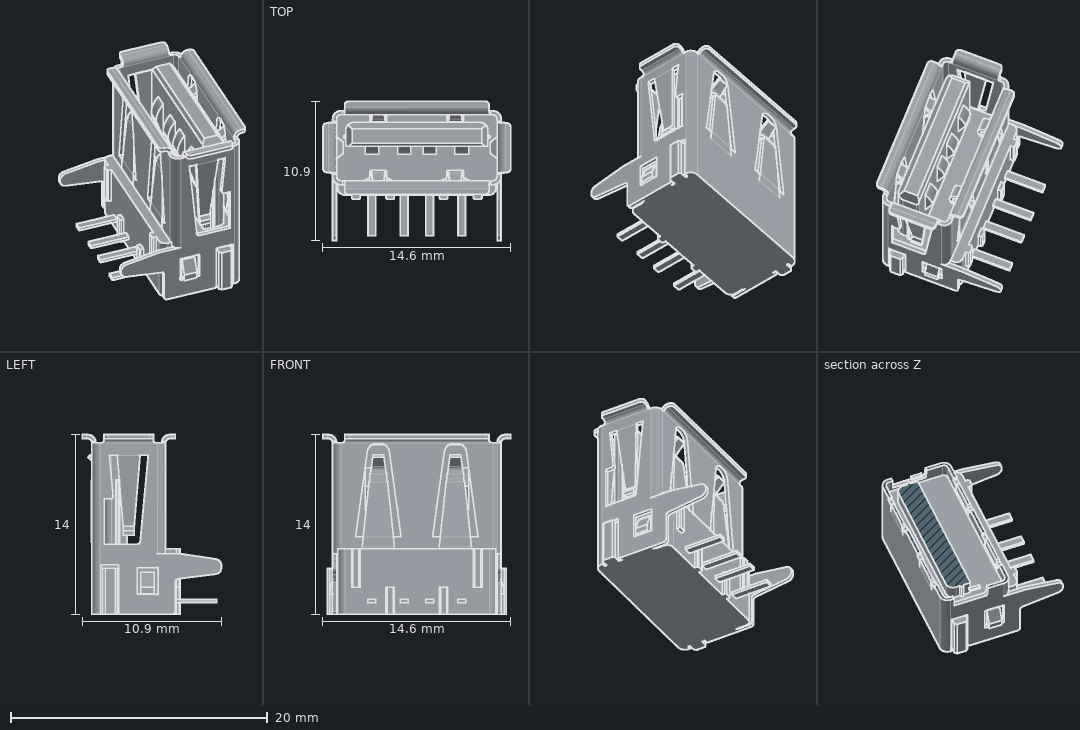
import cadquery as cq
import math


sheet = 0.32
shell_x, shell_y = 13.14, 5.76
half_x, half_y = shell_x / 2, shell_y / 2
cavity_x, cavity_y = shell_x - 2 * sheet, shell_y - 2 * sheet
corner_outer, corner_inner = 2 * sheet, sheet
total_height = 14.0
bend_outer = 2 * sheet
shell_top = total_height - bend_outer

RIGHT, BACK, LEFT, FRONT = 0, 90, 180, -90


def box(x_range, y_range, z_range):
    """Box given by its limits along each axis."""
    size = [high - low for low, high in (x_range, y_range, z_range)]
    return cq.Workplane("XY").box(*size, centered=False).translate((x_range[0], y_range[0], z_range[0]))


def rounded_column(size_x, size_y, height, radius):
    return cq.Workplane("XY").rect(size_x, size_y).extrude(height).edges("|Z").fillet(radius)


def prism_along_x(points, x_low, x_high):
    """Prism of a (y, z) outline."""
    return cq.Workplane("YZ").polyline(points).close().extrude(x_high - x_low).translate((x_low, 0, 0))


def prism_along_y(points, y_low, y_high):
    """Prism of an (x, z) outline."""
    return cq.Workplane("XZ").polyline(points).close().extrude(y_low - y_high).translate((0, y_low, 0))


def mirrored(points):
    """Close a half outline of (offset, z) points by its mirror image about offset 0."""
    return points + [(-offset, z) for offset, z in reversed(points)]


def both_sides(shape):
    """The shape together with its mirror image at -X."""
    return shape.union(shape.mirror("YZ"))


def bent_strip(path, thickness, radii, width):
    """Sheet strip bent along an (x, z) path that is one of its faces.

    Positive thickness lies left of the path. Each radius is the inside radius of one bend,
    0 for a plain kink.
    """
    headings = [math.atan2(z1 - z0, x1 - x0) for (x0, z0), (x1, z1) in zip(path, path[1:])]
    before = [headings[0]] + headings
    after = headings + [headings[-1]]
    opposite = []
    for (x, z), heading_in, heading_out in zip(path, before, after):
        middle = (heading_in + heading_out) / 2
        reach = thickness / math.cos((heading_out - heading_in) / 2)
        opposite.append((x - reach * math.sin(middle), z + reach * math.cos(middle)))
    strip = cq.Workplane("XZ").polyline(path + opposite[::-1]).close().extrude(width / 2, both=True)
    for bend, radius in enumerate(radii, start=1):
        if radius == 0:
            continue
        turns_to_strip = (after[bend] - before[bend]) * thickness > 0
        inside, outside = (opposite, path) if turns_to_strip else (path, opposite)
        for (x, z), bend_radius in ((inside[bend], radius), (outside[bend], radius + abs(thickness))):
            edge = strip.edges("|Y").edges(cq.NearestToPointSelector((x, 0, z)))
            strip = edge.fillet(bend_radius)
    return strip


def turned(shape, side):
    return shape.rotate((0, 0, 0), (0, 0, 1), side)


front_wall_bottom = 4.73
plate_front = -3.61
leg_tip = -7.23
leg_root = -4.01
leg_tip_top, leg_tip_bottom, leg_bottom = 4.25, 3.17, 2.72


def shell_body():
    body = rounded_column(shell_x, shell_y, shell_top, corner_outer)
    body = body.cut(rounded_column(cavity_x, cavity_y, shell_top, corner_inner))
    below_front_wall = box((-half_x, half_x), (-half_y, corner_outer - half_y), (0, front_wall_bottom))
    return body.cut(below_front_wall)


def side_plate():
    """Flat lower side wall that runs out into the board-lock leg."""
    tip_radius, leg_fillet, foot_fillet = 0.53, 0.28, 0.25
    outline = [
        (0, 0),
        (plate_front, 0),
        (plate_front, leg_bottom),
        (leg_tip, leg_tip_bottom),
        (leg_tip, leg_tip_top),
        (leg_root, front_wall_bottom),
        (0, front_wall_bottom),
    ]
    plate = prism_along_x(outline, half_x - sheet, half_x)
    plate = plate.edges("|X and <Y").fillet(tip_radius)
    for z, radius in ((leg_bottom, leg_fillet), (0, foot_fillet)):
        corner = cq.NearestToPointSelector((half_x - sheet / 2, plate_front, z))
        plate = plate.edges(corner).fillet(radius)
    return plate


def rim_flange(wall_outer, reach, half_width):
    """Outward-curled lip above one wall, on the +X side."""
    wall_inner = wall_outer - sheet
    lip_corner, root_flare, overlap = 0.32, 0.13, 0.07
    path = [(wall_inner, shell_top - overlap), (wall_inner, total_height), (reach, total_height)]
    lip = bent_strip(path, -sheet, [sheet], 2 * (half_width + root_flare))
    outline = mirrored([
        (half_width + root_flare, shell_top - overlap),
        (half_width + root_flare, shell_top),
        (half_width, shell_top + root_flare),
        (half_width, total_height),
    ])
    lip = lip.intersect(prism_along_x(outline, 0, reach))
    return lip.faces(">X").edges("|Z").fillet(lip_corner)


finger_sheet = 0.26
finger_offset = 3.0
finger_root, root_half = 5.27, 1.26
window_bottom, window_top = 6.04, 13.28
panel_top, neck_top, finger_top = 10.36, 10.95, 12.42


def face_window():
    """Round-topped tapered window and finger-root relief, through the front and back walls."""
    bottom_half, top_half, top_radius = 1.77, 0.78, 0.73
    root_taper = 0.09
    outline = mirrored([(bottom_half, window_bottom), (top_half, window_top)])
    opening = prism_along_y(outline, -half_y, half_y).edges("|Y and >Z").fillet(top_radius)
    relief = mirrored([(root_half, finger_root), (root_half - root_taper, window_bottom)])
    return opening.union(prism_along_y(relief, -half_y, half_y))


def face_finger(bulge, knee, valley, tip):
    """Tapered spring finger with an outward-hooked tip, on the +X side.

    The bulge lifts the panel off the wall face; knee, valley and tip are distances from the centre plane.
    """
    knee_height, valley_height, tip_height = 10.74, 11.19, 12.22
    knee_radius, valley_radius = 0.5, 0.35
    path = [
        (half_y, finger_root - sheet),
        (half_y, finger_root),
        (half_y + bulge, window_bottom),
        (knee, knee_height),
        (valley, valley_height),
        (tip, tip_height),
    ]
    strip = bent_strip(path, finger_sheet, [0, 0, knee_radius, valley_radius], 2 * root_half)
    panel_half, neck_half, hook_half, tip_half = 0.72, 0.66, 0.61, 0.41
    outline = mirrored([
        (root_half, finger_root - sheet),
        (root_half, finger_root),
        (panel_half, panel_top),
        (neck_half, panel_top),
        (neck_half, neck_top),
        (hook_half, neck_top),
        (tip_half, finger_top),
    ])
    return strip.intersect(prism_along_x(outline, 0, shell_y))


side_window_top, side_window_bottom = 12.38, 5.47


def side_window():
    """Tapered window through both side walls, with a step near its back lower corner."""
    bottom_front, step_back, step_height, step_root = -0.86, 1.9, 8.98, 1.2
    top_half, corner = 1.5, 0.2
    outline = [
        (-top_half, side_window_top),
        (bottom_front, side_window_bottom),
        (step_back, side_window_bottom),
        (step_back, step_height),
        (step_root, step_height),
        (top_half, side_window_top),
    ]
    window = prism_along_x(outline, -half_x, half_x)
    for y, z in ((bottom_front, side_window_bottom), (step_root, step_height)):
        window = window.edges("|X").edges(cq.NearestToPointSelector((0, y, z))).fillet(corner)
    return window


def side_finger():
    """Spring finger hanging from the top of the side window, on the +X side."""
    tip, jog_low, jog_high = 6.15, 6.51, 6.85
    peak, tip_face = 5.98, 6.2
    tip_half, hinge_half = 0.44, 0.89
    path = [
        (tip_face, tip),
        (tip_face, jog_low),
        (peak, jog_high),
        (half_x, side_window_top),
        (half_x, shell_top),
    ]
    strip = bent_strip(path, finger_sheet, [0, 0], 2 * hinge_half)
    outline = mirrored([
        (tip_half, tip),
        (tip_half, jog_high),
        (hinge_half, side_window_top),
        (hinge_half, shell_top),
    ])
    return strip.intersect(prism_along_x(outline, 0, half_x))


latch_y = (-2.0, -0.95)
block_y = (0.88, 2.0)


def latch_window():
    clearance, corner = 0.29, 0.1
    window_y = (latch_y[0] - clearance, latch_y[1] + clearance)
    window_z = (1.55, 3.63)
    return box((-half_x, half_x), window_y, window_z).edges("|X").fillet(corner)


def cut_block_slots(shell_part):
    """Cut the open-bottomed slots around the side blocks and round their front mouth corner."""
    slot_front, slot_back, slot_top = 0.76, 2.17, 3.85
    corner, mouth_radius = 0.13, 0.18
    slot = box((-half_x, half_x), (slot_front, slot_back), (0, slot_top)).edges("|X and >Z").fillet(corner)
    cut_part = shell_part.cut(slot)
    for x in (half_x - sheet / 2, sheet / 2 - half_x):
        mouth = cq.NearestToPointSelector((x, slot_front, 0))
        cut_part = cut_part.edges("|X").edges(mouth).fillet(mouth_radius)
    return cut_part


floor = 5.12
step_half_x, step_front, step_corner = 6.16, -3.69, 0.53


def insulator_body():
    core = rounded_column(cavity_x, cavity_y, floor, corner_inner)
    step = box((-step_half_x, step_half_x), (step_front, 0), (0, floor))
    return core.union(step.edges("|Z and <Y").fillet(step_corner))


def front_ribs():
    rib_half, rib_front, split, corner = 0.34, -4.02, 2.12, 0.1
    ribs = cq.Workplane("XY")
    outer_x, inner_x = 4.74, 2.08
    for x, z_range in ((outer_x, (split, floor)), (inner_x, (0, split))):
        rib = box((x - rib_half, x + rib_half), (rib_front, step_front + step_corner), z_range)
        ribs = ribs.add(both_sides(rib.edges("|Z and <Y").chamfer(corner)))
    return ribs.combine()


def side_block():
    """Upright key that stands out through the slot in the side plate."""
    block_face, block_height, corner = 6.96, 3.57, 0.18
    block = box((half_x - 2 * sheet, block_face), block_y, (0, block_height))
    return block.edges("|Z and >X").chamfer(corner)


def latch():
    """Snap wedge that stands out through the latch window of the side plate."""
    root, peak = half_x - 2 * sheet, 6.76
    ramp_start, bottom, ramp_bottom, top = 6.29, 1.58, 2.12, 3.28
    outline = [(root, bottom), (peak, bottom), (peak, ramp_bottom), (ramp_start, top), (root, top)]
    return prism_along_y(outline, *latch_y)


tongue_half, tongue_front, tongue_back, tongue_top = 5.53, 0.1, 1.98, 13.56


def tongue():
    body = box((-tongue_half, tongue_half), (tongue_front, tongue_back), (0, tongue_top))
    back_corner, front_corner = 0.6, 0.15
    body = body.edges("|Z and >Y").fillet(back_corner)
    body = body.edges("|Z and <Y").fillet(front_corner)
    lead_height, front_lead_height = 0.73, 0.38
    side_lead, back_lead, front_lead = 0.48, 0.51, 0.25
    front_outline = mirrored([
        (tongue_half, 0),
        (tongue_half, tongue_top - lead_height),
        (tongue_half - side_lead, tongue_top),
    ])
    side_outline = [
        (tongue_front, 0),
        (tongue_back, 0),
        (tongue_back, tongue_top - lead_height),
        (tongue_back - back_lead, tongue_top),
        (tongue_front + front_lead, tongue_top),
        (tongue_front, tongue_top - front_lead_height),
    ]
    body = body.intersect(prism_along_y(front_outline, 0, tongue_back))
    return body.intersect(prism_along_x(side_outline, -tongue_half, tongue_half))


def tongue_rib():
    """Guide rib on the side of the tongue, with a sloped top."""
    rib_y, rib_crest, rib_base_half, rib_crest_half = 0.85, 5.7, 0.16, 0.07
    rib_height, top_slope = 10.49, 0.15
    root = tongue_half - rib_base_half
    outline = [
        (root, rib_y - rib_base_half),
        (tongue_half, rib_y - rib_base_half),
        (rib_crest, rib_y - rib_crest_half),
        (rib_crest, rib_y + rib_crest_half),
        (tongue_half, rib_y + rib_base_half),
        (root, rib_y + rib_base_half),
    ]
    rib = cq.Workplane("XY").polyline(outline).close().extrude(rib_height)
    return rib.faces(">Z").edges(">X").chamfer(top_slope)


contacts = [(-3.5, 1.07), (-1.0, 1.01), (1.0, 1.01), (3.5, 1.07)]


def contact_spring(x, width):
    """Bulge of a contact on the front face of the tongue."""
    bottom, crest_height, top = 8.18, 9.96, 11.41
    crest, root = -0.5, tongue_front + 0.07
    shoulder = (-0.29, 10.83)
    profile = (
        cq.Workplane("YZ")
        .moveTo(root, bottom)
        .lineTo(tongue_front, bottom)
        .lineTo(crest, crest_height)
        .threePointArc(shoulder, (tongue_front, top))
        .lineTo(root, top)
        .close()
    )
    return profile.extrude(width / 2, both=True).translate((x, 0, 0))


def pin(x):
    """Flat solder pin leaving the front of the insulator."""
    pin_half, pin_tip = 0.3, -6.86
    pin_z = (0.9, 1.15)
    return box((x - pin_half, x + pin_half), (pin_tip, 0), pin_z)


shell = shell_body().union(both_sides(side_plate()))
shell = shell.cut(both_sides(face_window().translate((finger_offset, 0, 0))))
shell = shell.cut(side_window())
shell = shell.cut(latch_window())
shell = cut_block_slots(shell)

for side in (FRONT, BACK):
    shell = shell.union(turned(rim_flange(wall_outer=half_y, reach=3.63, half_width=5.63), side))
for side in (LEFT, RIGHT):
    shell = shell.union(turned(rim_flange(wall_outer=half_x, reach=7.32, half_width=1.93), side))
    shell = shell.union(turned(side_finger(), side))

front_finger = turned(face_finger(bulge=-0.03, knee=2.6, valley=1.75, tip=2.87), FRONT)
back_finger = turned(face_finger(bulge=0.05, knee=2.93, valley=2.05, tip=3.17), BACK)
for finger in (front_finger, back_finger):
    shell = shell.union(both_sides(finger.translate((finger_offset, 0, 0))))

insulator = insulator_body().union(front_ribs()).union(tongue())
for feature in (side_block(), latch(), tongue_rib()):
    insulator = insulator.union(both_sides(feature))

result = shell.union(insulator)
for x, width in contacts:
    result = result.union(contact_spring(x, width)).union(pin(x))